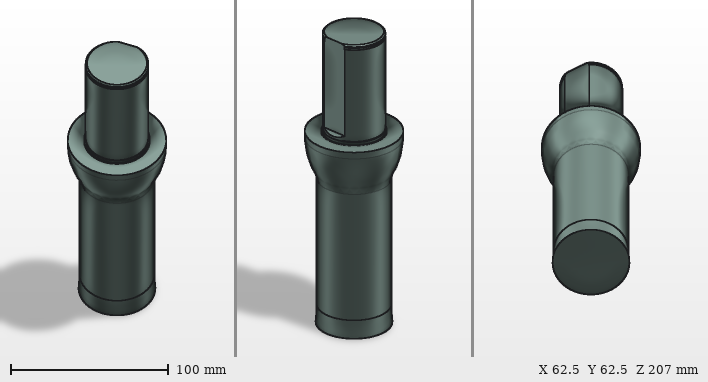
import cadquery as cq
import math

overall_height = 207.0
head_height = 14.0
head_rim_height = 1.2
bulb_bottom = 103.5
bulb_top = 132.5
collar_top = 136.8

barrel_radius = 47.6 / 2
collar_radius = 62.5 / 2
bulb_arc_radius = 47.6

head_rim_radius = 48.9 / 2

shank_radius = 40.0 / 2
neck_radius = 39.5 / 2
neck_height = 1.5
foot_chamfer_height = 0.6
recess_radius = 41.8 / 2
recess_depth = 0.6
end_chamfer = 1.0
groove_top = overall_height - 1.9
groove_bottom = overall_height - 3.3

flat_offset = 17.8
flat_runout_bottom = collar_top + 3.3


def make_cutting_head():
    """Flared head with a shallow domed end face."""
    flare_drop = head_height - head_rim_height
    flare_widening = head_rim_radius - barrel_radius
    flare_arc_radius = (flare_drop**2 + flare_widening**2) / (2 * flare_widening)
    dome_radius = (head_rim_radius**2 + head_rim_height**2) / (2 * head_rim_height)

    profile = (
        cq.Workplane("XZ")
        .lineTo(0, head_height)
        .lineTo(barrel_radius, head_height)
        .radiusArc((head_rim_radius, head_rim_height), -flare_arc_radius)
        .radiusArc((0, 0), dome_radius)
        .close()
    )
    return profile.revolve(360, (0, 0, 0), (0, 1, 0))


def make_tool_body():
    """Barrel, bulb, collar and shank turned about the Z axis."""
    bulb_rise = bulb_top - bulb_bottom
    bulb_widening = collar_radius - barrel_radius
    bulb_angle = 2 * math.atan2(bulb_widening, bulb_rise)
    bulb_turn_radius = collar_radius - bulb_arc_radius * (1 - math.cos(bulb_angle))
    bulb_turn_height = bulb_top - bulb_arc_radius * math.sin(bulb_angle)
    bulb_turn_direction = (math.sin(bulb_angle), math.cos(bulb_angle))

    profile = (
        cq.Workplane("XZ")
        .moveTo(0, head_height)
        .lineTo(barrel_radius, head_height)
        .lineTo(barrel_radius, bulb_bottom)
        .spline(
            [(bulb_turn_radius, bulb_turn_height), (collar_radius, bulb_top)],
            tangents=[(0, 1), bulb_turn_direction, (0, 1)],
            includeCurrent=True,
        )
        .lineTo(collar_radius, collar_top)
        .lineTo(recess_radius, collar_top)
        .lineTo(recess_radius, collar_top - recess_depth)
        .lineTo(neck_radius, collar_top - recess_depth)
        .lineTo(neck_radius, collar_top + neck_height)
        .lineTo(shank_radius, collar_top + neck_height + foot_chamfer_height)
        .lineTo(shank_radius, groove_bottom)
        .lineTo(neck_radius, groove_bottom)
        .lineTo(neck_radius, groove_top)
        .lineTo(shank_radius, groove_top)
        .lineTo(shank_radius, overall_height - end_chamfer)
        .lineTo(shank_radius - end_chamfer, overall_height)
        .lineTo(0, overall_height)
        .close()
    )
    return profile.revolve(360, (0, 0, 0), (0, 1, 0))


def make_flat_cutter():
    """Wedge-ended block that cuts the flat, running out at 45 degrees at its foot."""
    outer_offset = collar_radius
    runout = shank_radius - flat_offset
    return (
        cq.Workplane("YZ")
        .moveTo(flat_offset, overall_height)
        .lineTo(flat_offset, flat_runout_bottom + runout)
        .lineTo(shank_radius, flat_runout_bottom)
        .lineTo(outer_offset, flat_runout_bottom)
        .lineTo(outer_offset, overall_height)
        .close()
        .extrude(shank_radius, both=True)
    )


cutting_head = make_cutting_head()
tool_body = make_tool_body().cut(make_flat_cutter())

result = cq.Compound.makeCompound([cutting_head.val(), tool_body.val()])